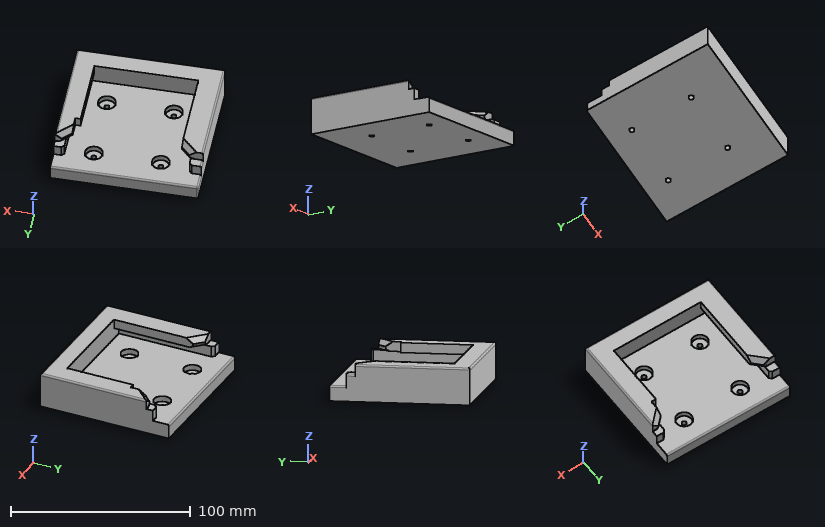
import cadquery as cq

WIDTH = 84.0
LENGTH = 80.0
HEIGHT = 21.2
FLOOR_Z = 9.0
LIP_Z = 15.6
EDGE_RADIUS = 1.0

LEFT_WALL = 7.0
RIGHT_WALL = 6.0
WALL_END_Y = 70.0
WALL_END_CHAMFER = 1.5

LIP_OVERHANG = 6.0
OPENING_LEFT_X = LEFT_WALL + LIP_OVERHANG
OPENING_RIGHT_X = WIDTH - RIGHT_WALL - LIP_OVERHANG
OPENING_FRONT_Y = 11.0
NOTCH_DEPTH = 3.0
NOTCH_START_Y = 52.0
NOTCH_X = OPENING_RIGHT_X + NOTCH_DEPTH

LEFT_LIP_END_Y = 65.0
RIGHT_LIP_END_Y = 66.0
LEFT_MOUTH_Y = 60.0
RIGHT_MOUTH_Y = 61.0
MOUTH_ANGLE = 45.0
MOUTH_CHAMFER = 3.0
MOUTH_RADIUS = 2.0

HOLE_DIAMETER = 2.83
COUNTERBORE_DIAMETER = 10.0
COUNTERBORE_DEPTH = 3.5
HOLE_XS = (24.0, 62.0)
HOLE_YS = (26.0, 65.0)


def box(x0, x1, y0, y1, z0, z1):
    return cq.Workplane("XY").box(x1 - x0, y1 - y0, z1 - z0, centered=False).translate((x0, y0, z0))


def side_wall(x0, x1, inner_edge):
    """Wall standing on the base plate, chamfered at the back of its inner face."""
    wall = box(x0, x1, 0, WALL_END_Y, FLOOR_Z, LIP_Z)
    return wall.edges("|Z and >Y").edges(inner_edge).chamfer(WALL_END_CHAMFER)


def stepped_body():
    """Base plate, walls and lips, with square lip ends and sharp outer edges."""
    body = box(0, WIDTH, 0, LENGTH, 0, FLOOR_Z)
    body = body.union(box(0, WIDTH, 0, OPENING_FRONT_Y, FLOOR_Z, HEIGHT))
    body = body.union(side_wall(0, LEFT_WALL, ">X"))
    body = body.union(side_wall(WIDTH - RIGHT_WALL, WIDTH, "<X"))
    body = body.union(box(0, OPENING_LEFT_X, 0, LEFT_LIP_END_Y, LIP_Z, HEIGHT))
    right_lip = box(OPENING_RIGHT_X, WIDTH, 0, RIGHT_LIP_END_Y, LIP_Z, HEIGHT)
    notch = box(OPENING_RIGHT_X, NOTCH_X, NOTCH_START_Y, RIGHT_LIP_END_Y, LIP_Z, HEIGHT)
    return body.union(right_lip.cut(notch)).clean()


def round_outer_edges(body):
    """Round the three left steps, the back of the base plate, and the front and right top edges."""
    margin = EDGE_RADIUS / 2
    left_steps = cq.selectors.BoxSelector((-margin, 0, margin), (margin, LENGTH, HEIGHT + margin))
    edges = body.edges("|Y").edges(left_steps)
    edges = edges.add(body.edges("|Z and <X and >Y"))
    edges = edges.add(body.edges("|X and >Y").edges(">Z"))
    edges = edges.add(body.edges("|X and <Y").edges(">Z"))
    edges = edges.add(body.edges("|Y and >X").edges(">Z"))
    return edges.fillet(EDGE_RADIUS)


def mouth_cutter(lip_side_x, mouth_y, turn):
    """Prism that trims a lip end along a line turned about Z from the lip side."""
    reach = WIDTH / 4
    arc_top_z = LIP_Z + MOUTH_RADIUS
    profile = (
        cq.Workplane("XZ")
        .moveTo(-MOUTH_RADIUS, LIP_Z)
        .radiusArc((0, arc_top_z), -MOUTH_RADIUS)
        .lineTo(0, HEIGHT - MOUTH_CHAMFER)
        .lineTo(-MOUTH_CHAMFER, HEIGHT)
        .lineTo(reach, HEIGHT)
        .lineTo(reach, LIP_Z)
        .close()
    )
    prism = profile.extrude(reach, both=True)
    return prism.rotate((0, 0, 0), (0, 0, 1), turn).translate((lip_side_x, mouth_y, 0))


def trim_lip_ends(body):
    left = mouth_cutter(OPENING_LEFT_X, LEFT_MOUTH_Y, MOUTH_ANGLE)
    right = mouth_cutter(NOTCH_X, RIGHT_MOUTH_Y, 180 - MOUTH_ANGLE)
    return body.cut(left).cut(right)


def drill_screw_holes(body):
    centers = [(x, y) for x in HOLE_XS for y in HOLE_YS]
    holes = cq.Workplane("XY").pushPoints(centers).circle(HOLE_DIAMETER / 2).extrude(FLOOR_Z)
    seats = (
        cq.Workplane("XY")
        .workplane(offset=FLOOR_Z - COUNTERBORE_DEPTH)
        .pushPoints(centers)
        .circle(COUNTERBORE_DIAMETER / 2)
        .extrude(COUNTERBORE_DEPTH)
    )
    return body.cut(holes).cut(seats)


holder = round_outer_edges(stepped_body())
holder = trim_lip_ends(holder)
result = drill_screw_holes(holder)